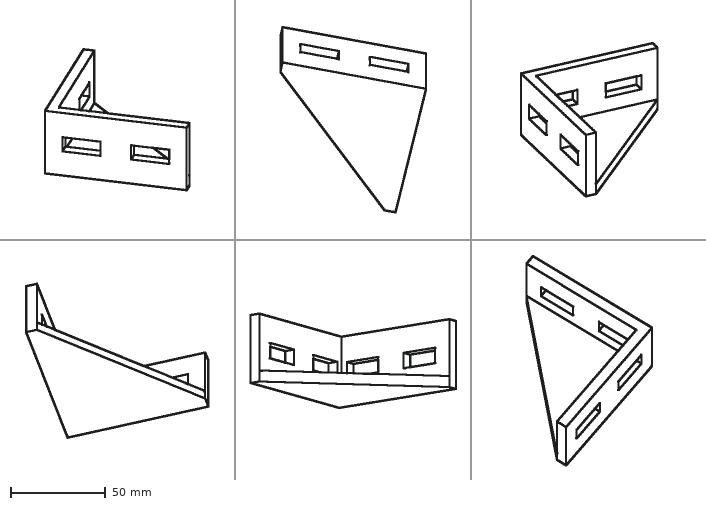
import cadquery as cq

leg_length = 78.0
height = 37.0
wall = 6.0
web_thickness = 6.0
slot_length = 21.0
slot_height = 8.35
slot_end_margin = 9.6

slot_centers = (
    slot_end_margin + slot_length / 2,
    leg_length - slot_end_margin - slot_length / 2,
)


def make_walls():
    """Two equal upright legs meeting at the origin corner."""
    x_leg = cq.Workplane("XY").box(leg_length, wall, height, centered=False)
    y_leg = cq.Workplane("XY").box(wall, leg_length, height, centered=False)
    return x_leg.union(y_leg)


def make_web():
    """Triangular floor joining the inner edges of the leg ends."""
    return (
        cq.Workplane("XY")
        .polyline([(0, 0), (leg_length, 0), (leg_length, wall), (wall, leg_length), (0, leg_length)])
        .close()
        .extrude(web_thickness)
    )


def cut_slots(body):
    """Cut the rectangular slots through both legs at mid height."""
    for center in slot_centers:
        x_leg_slot = cq.Workplane("XY").box(slot_length, wall, slot_height)
        y_leg_slot = cq.Workplane("XY").box(wall, slot_length, slot_height)
        body = body.cut(x_leg_slot.translate((center, wall / 2, height / 2)))
        body = body.cut(y_leg_slot.translate((wall / 2, center, height / 2)))
    return body


result = cut_slots(make_walls().union(make_web()))